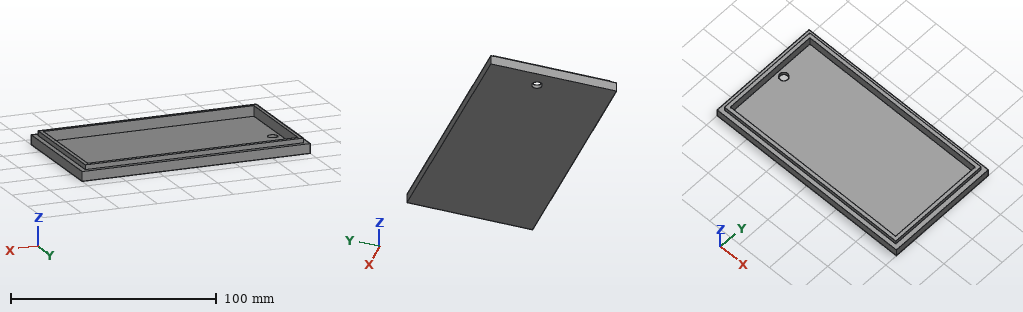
import cadquery as cq

length = 120.0
width = 65.0
height = 7.5
base_height = 5.0

lip_inset_x = 2.6
lip_inset_y = 2.4
lip_wall = 2.0
lip_length = length - 2 * lip_inset_x
lip_width = width - 2 * lip_inset_y

floor_thickness = 2.0
cavity_length = lip_length - 2 * lip_wall
cavity_width = lip_width - 2 * lip_wall

hole_diameter = 5.0
hole_x = -51.4
hole_y = 5.5


def block(size_x, size_y, bottom, top):
    """Box centred on the Z axis between two heights."""
    return cq.Workplane("XY").workplane(offset=bottom).rect(size_x, size_y).extrude(top - bottom)


base = block(length, width, 0, base_height)
lip = block(lip_length, lip_width, 0, height)
cavity = block(cavity_length, cavity_width, floor_thickness, height)
hole = cq.Workplane("XY").center(hole_x, hole_y).circle(hole_diameter / 2).extrude(height)

result = base.union(lip).cut(cavity).cut(hole)